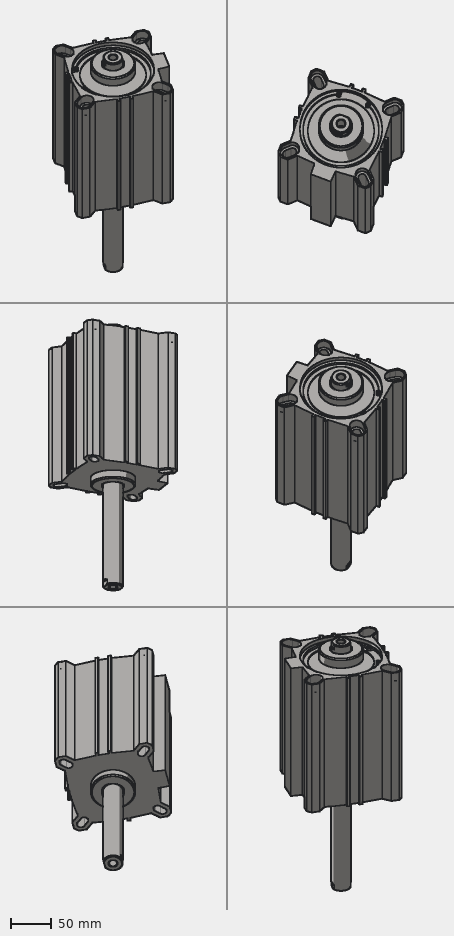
import cadquery as cq
import math


overall_length = 347.0
overall_width = 124.0
overall_depth = 131.0
housing_length = 180.8
collar_height = 10.5
rod_top_stickout = 10.0

lug_width = 21.5
lug_circle_diameter = 168.0
side_end_reach = 52.5
side_middle_reach = 54.8

rail_reach = 59.0
rail_pair_width = 20.0
rail_mouth_width = 11.8
rail_lip_chamfer = 0.7
rail_groove_width = 14.0
rail_lip_thickness = 2.5

block_width = 26.5
block_root_width = 28.5

slot_center = 49.3
slot_travel = 7.5
slot_width = 10.0
slot_recess_width = 17.0
slot_recess_depth = 12.0

bore_diameter = 102.5
head_thickness = 20.8
head_face_depth = 8.5
cone_base_diameter = 82.5
cone_base_depth = 9.7
cone_top_depth = 2.5
collar_diameter = 56.0
collar_chamfer = 1.7
wiper_diameter = 28.0
wiper_depth = 1.7

ring_groove_diameter = 106.2
ring_inner_diameter = 94.5
ring_thickness = 3.0
ring_gap = 34.7
ring_eye_x = 19.5
ring_eye_y = -42.5
ring_eye_diameter = 5.2
ring_eye_rise = 0.7
ring_hole_diameter = 3.5

rod_diameter = 25.0
rod_chamfer = 1.5
flat_to_flat = 22.0
flat_length = 7.0
thread_diameter = 10.0
thread_chamfer_diameter = 11.5
thread_depth = 24.3
drill_tip_angle = 120.0

lug_reach = overall_width / 2
block_reach = overall_depth - lug_reach
head_face_z = housing_length - head_face_depth
head_bottom_z = head_face_z - head_thickness
ring_top_z = head_face_z + ring_thickness
collar_top_z = housing_length + collar_height
rod_top_z = collar_top_z + rod_top_stickout
rod_bottom_z = rod_top_z - overall_length


def cylinder(diameter, bottom, top):
    """Upright cylinder on the Z axis between two heights."""
    return cq.Workplane("XY").workplane(offset=bottom).circle(diameter / 2).extrude(top - bottom)


def prism(points):
    """Outline extruded over the full length of the housing."""
    return cq.Workplane("XY").polyline(points).close().extrude(housing_length)


def turned(points):
    """Solid of revolution about Z from (radius, height) points."""
    return cq.Workplane("XZ").polyline(points).close().revolve(360, (0, 0, 0), (0, 1, 0))


def around_z(shape, angle):
    return shape.rotate((0, 0, 0), (0, 0, 1), angle)


def collar(root_z, end_z):
    """Collar from root_z to its chamfered outer end at end_z, above or below the root."""
    outward = math.copysign(1, end_z - root_z)
    radius = collar_diameter / 2
    return turned([
        (0, root_z),
        (radius, root_z),
        (radius, end_z - outward * collar_chamfer),
        (radius - collar_chamfer, end_z),
        (0, end_z),
    ])



def square_body():
    """Square body whose sides rise slightly to a flat strip at the middle."""
    end, middle, half_strip = side_end_reach, side_middle_reach, rail_pair_width / 2
    end_half_width = end - lug_width / 2
    points = []
    for quarter in range(4):
        for x, y in [
            (end, end_half_width),
            (end_half_width, end),
            (half_strip, middle),
            (-half_strip, middle),
        ]:
            for _ in range(quarter):
                x, y = -y, x
            points.append((x, y))
    return prism(points)


def corner_lugs():
    """Four diagonal lugs, trimmed by the overall square and by a circle around the axis."""
    bar = cq.Workplane("XY").rect(lug_circle_diameter, lug_width).extrude(housing_length)
    lugs = around_z(bar, 45).union(around_z(bar, -45))
    square = cq.Workplane("XY").rect(overall_width, overall_width).extrude(housing_length)
    return lugs.intersect(square).intersect(cylinder(lug_circle_diameter, 0, housing_length))


def sensor_rails():
    """Pair of L-shaped rails on the -Y side; their lips point at each other."""
    outer = rail_pair_width / 2
    inner = rail_mouth_width / 2
    lip_y = -rail_reach + rail_lip_thickness
    right_rail = prism([
        (outer, -side_end_reach),
        (outer, -rail_reach),
        (inner + rail_lip_chamfer, -rail_reach),
        (inner, -rail_reach + rail_lip_chamfer),
        (inner, lip_y),
        (rail_groove_width / 2, lip_y),
        (rail_groove_width / 2, -side_end_reach),
    ])
    return right_rail.union(right_rail.mirror("YZ"))


def port_block():
    """Tapered block along the +Y side."""
    return prism([
        (block_root_width / 2, side_end_reach),
        (block_width / 2, block_reach),
        (-block_width / 2, block_reach),
        (-block_root_width / 2, side_end_reach),
    ])


def lug_slot():
    """Through slot with a wider recess at the top, in the +X +Y lug."""
    direction = 45
    center = (slot_center, slot_center)
    through = (
        cq.Workplane("XY").center(*center)
        .slot2D(slot_travel + slot_width, slot_width, direction)
        .extrude(housing_length)
    )
    recess = (
        cq.Workplane("XY").workplane(offset=housing_length - slot_recess_depth).center(*center)
        .slot2D(slot_travel + slot_recess_width, slot_recess_width, direction)
        .extrude(slot_recess_depth)
    )
    return through.union(recess)


def make_housing():
    housing = square_body().union(corner_lugs()).union(port_block())
    for angle in (-90, 0, 90):
        housing = housing.union(around_z(sensor_rails(), angle))
    housing = housing.union(collar(0, -collar_height))
    for quarter in range(4):
        housing = housing.cut(around_z(lug_slot(), 90 * quarter))
    head_seat = cylinder(bore_diameter, head_bottom_z, housing_length)
    ring_groove = cylinder(ring_groove_diameter, head_face_z, ring_top_z)
    rod_hole = cylinder(rod_diameter, -collar_height, housing_length)
    wiper_recess = cylinder(wiper_diameter, -collar_height, -collar_height + wiper_depth)
    return housing.cut(head_seat).cut(ring_groove).cut(rod_hole).cut(wiper_recess)



def make_head():
    """Plug with a cone that rises to the rod collar."""
    cone_top_z = housing_length - cone_top_depth
    plug = turned([
        (0, head_bottom_z),
        (bore_diameter / 2, head_bottom_z),
        (bore_diameter / 2, head_face_z),
        (cone_base_diameter / 2, head_face_z),
        (cone_base_diameter / 2, housing_length - cone_base_depth),
        (collar_diameter / 2, cone_top_z),
        (0, cone_top_z),
    ])
    head = plug.union(collar(cone_top_z, collar_top_z))
    rod_hole = cylinder(rod_diameter, head_bottom_z, collar_top_z)
    wiper_recess = cylinder(wiper_diameter, collar_top_z - wiper_depth, collar_top_z)
    return head.cut(rod_hole).cut(wiper_recess)



def make_ring():
    """Snap ring, open on the -Y side, with a plier eye at each end."""
    eyes = [(-ring_eye_x, ring_eye_y), (ring_eye_x, ring_eye_y)]
    base = cq.Workplane("XY").workplane(offset=head_face_z)
    band = base.circle(ring_groove_diameter / 2).circle(ring_inner_diameter / 2).extrude(ring_thickness)
    opening = (
        base.center(0, -ring_groove_diameter / 2)
        .rect(ring_gap, ring_groove_diameter)
        .extrude(ring_thickness)
    )
    eye_height = ring_thickness + ring_eye_rise
    eye_pads = base.pushPoints(eyes).circle(ring_eye_diameter / 2).extrude(eye_height)
    eye_holes = base.pushPoints(eyes).circle(ring_hole_diameter / 2).extrude(eye_height)
    return band.cut(opening).union(eye_pads).cut(eye_holes)



def wrench_flat():
    """Cutter for the +Y flat at the rod's top end; the flat runs out at 45 degrees."""
    flat_y = flat_to_flat / 2
    clearance = rod_diameter / 2
    flat_end_z = rod_top_z - flat_length
    return (
        cq.Workplane("YZ")
        .polyline([
            (flat_y, rod_top_z),
            (flat_y, flat_end_z),
            (flat_y + clearance, flat_end_z - clearance),
            (flat_y + clearance, rod_top_z),
        ])
        .close()
        .extrude(clearance, both=True)
    )


def threaded_hole():
    """Drilled and chamfered hole in the rod's top end."""
    radius = thread_diameter / 2
    mouth_radius = thread_chamfer_diameter / 2
    hole_end_z = rod_top_z - thread_depth
    tip_length = radius / math.tan(math.radians(drill_tip_angle / 2))
    return turned([
        (0, rod_top_z),
        (mouth_radius, rod_top_z),
        (radius, rod_top_z - (mouth_radius - radius)),
        (radius, hole_end_z),
        (0, hole_end_z - tip_length),
    ])


def make_rod():
    """Round rod with the same chamfer, two flats and threaded hole at both ends."""
    end_cut = wrench_flat().union(wrench_flat().mirror("XZ")).union(threaded_hole())
    middle_z = (rod_top_z + rod_bottom_z) / 2
    rod = cylinder(rod_diameter, rod_bottom_z, rod_top_z).edges().chamfer(rod_chamfer)
    return rod.cut(end_cut).cut(end_cut.mirror("XY", (0, 0, middle_z)))


housing = make_housing()
head = make_head()
ring = make_ring()
rod = make_rod()

result = cq.Compound.makeCompound([housing.val(), head.val(), ring.val(), rod.val()])